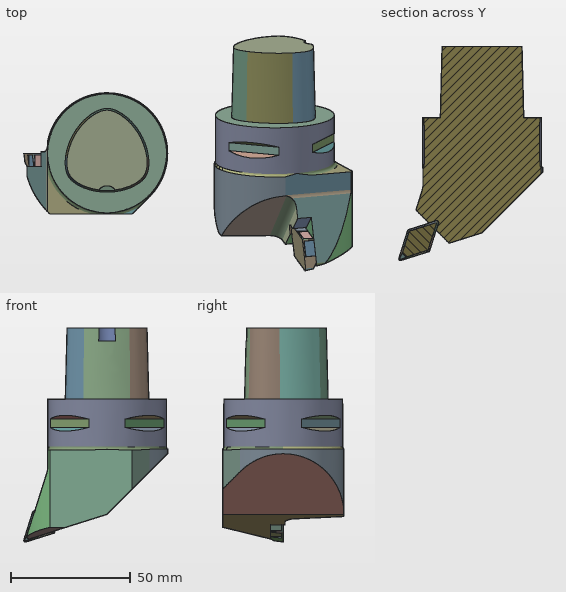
import cadquery as cq
import math

shank_length = 30.0
shank_mean_radius = 17.6
lobe_count = 3
shank_lobe = 1.3
spline_steps = 10
lobe_half_angle = 37.6
shank_slope = 0.025

key_notch_radius = 4.2
key_notch_floor = -13.6
key_notch_depth = 5.5

collar_radius = 25.0
collar_height = 20.0
neck_fillet = 1.3

groove_flat_distance = 22.2
groove_z = -10.1
groove_half_height = 1.7
groove_flare = 30.0
groove_count = 4

head_radius = 25.5
swing_radius = 35.0
head_left = -25.0
flare_start = -29.9
flare_fillet = 5.0
head_tip_fillet = 1.0
heel_z = -48.4
bottom_relief_z = -53.8
bottom_relief_slope = 0.245

lead_angle = 17.5
tool_reach = 34.98
tool_length = 60.0

insert_side = 14.0
insert_thickness = 5.4
insert_nose_radius = 0.8
insert_clearance = 7.0
recess_start = 6.6
recess_end = 13.2
recess_depth = 0.7
recess_rim = 0.75
relief_start = 1.5
relief_end = 3.7
relief_start_depth = 3.8

seat_wall_distance = 20.7
land_y = 0.75
gullet_start_z = -29.3
gullet_x_slope = -1.105
gullet_y_slope = 0.212
gullet_fillet = 4.4

lobe_pitch = 360 / lobe_count
ledge_z = -collar_height - neck_fillet
lead_slope = math.tan(math.radians(lead_angle))
insert_angle = 90 - 2 * lead_angle
half_angle = math.radians(insert_angle / 2)
insert_long = 2 * insert_side * math.cos(half_angle)
insert_half_width = insert_side * math.sin(half_angle)
nose_setback = insert_nose_radius * (math.sqrt(0.5) / math.sin(half_angle) - 1)
sharp_x = -tool_reach - nose_setback
sharp_z = -tool_length - nose_setback
gullet_edge_y = math.sqrt(head_radius**2 - head_left**2)
oversize = 80.0


def shank_section(height):
    """Closed three-lobed constant-width curve with one lobe on +Y, split where lobes meet flanks."""
    mean = shank_mean_radius - shank_slope * height

    def point(degrees):
        angle = math.radians(degrees)
        along = mean * math.cos(angle) + shank_lobe * (2 * math.cos(2 * angle) - math.cos(4 * angle))
        across = mean * math.sin(angle) - shank_lobe * (2 * math.sin(2 * angle) + math.sin(4 * angle))
        return cq.Vector(-across, along, height)

    def tangent(degrees):
        angle = math.radians(degrees)
        return cq.Vector(-math.cos(angle), -math.sin(angle), 0)

    def piece(start, end):
        step = (end - start) / spline_steps
        points = [point(start + i * step) for i in range(spline_steps + 1)]
        return cq.Edge.makeSpline(points, tangents=[tangent(start), tangent(end)])

    edges = []
    for i in range(lobe_count):
        lobe = i * lobe_pitch
        edges.append(piece(lobe - lobe_half_angle, lobe + lobe_half_angle))
        edges.append(piece(lobe + lobe_half_angle, lobe + lobe_pitch - lobe_half_angle))
    return cq.Wire.assembleEdges(edges)


def make_shank():
    sections = [shank_section(0), shank_section(shank_length)]
    shank = cq.Workplane(cq.Solid.makeLoft(sections, True))
    notch = (
        cq.Workplane("XY", origin=(0, key_notch_floor - key_notch_radius, shank_length - key_notch_depth))
        .circle(key_notch_radius)
        .extrude(key_notch_depth)
    )
    return shank.cut(notch)


def gripper_groove(angle):
    """Straight trapezoidal groove across the collar, facing the given direction."""
    depth = head_radius - groove_flat_distance
    mouth_half_height = groove_half_height + depth * math.tan(math.radians(groove_flare))
    return (
        cq.Workplane("XZ", origin=(0, head_radius, 0))
        .polyline(
            [
                (groove_flat_distance, groove_z - groove_half_height),
                (head_radius, groove_z - mouth_half_height),
                (head_radius, groove_z + mouth_half_height),
                (groove_flat_distance, groove_z + groove_half_height),
            ]
        )
        .close()
        .extrude(2 * head_radius)
        .rotate((0, 0, 0), (0, 0, 1), angle)
    )


def make_collar():
    collar = cq.Workplane("XY").circle(collar_radius).extrude(-collar_height)
    for i in range(groove_count):
        collar = collar.cut(gripper_groove(45 + i * 360 / groove_count))
    return collar


def head_plan():
    """Plan outline: round back, square front, flared left side and a 45 degree right corner."""
    swing_front_x = -math.sqrt(swing_radius**2 - head_radius**2)
    swing_back_x = -math.sqrt(swing_radius**2 - gullet_edge_y**2)
    diagonal = head_radius * math.sqrt(0.5)
    bevel_x = 2 * diagonal - head_radius
    return (
        cq.Workplane("XY")
        .moveTo(swing_front_x, -head_radius)
        .threePointArc((-swing_radius, 0), (swing_back_x, gullet_edge_y))
        .lineTo(head_left, gullet_edge_y)
        .threePointArc((diagonal, diagonal), (diagonal, -diagonal))
        .lineTo(bevel_x, -head_radius)
        .close()
        .extrude(-oversize)
    )


def head_side():
    """Side profile: flared left edge, sloped underside and 45 degree heel."""
    tip_z = (heel_z + lead_slope * (head_left - lead_slope * flare_start)) / (1 - lead_slope**2)
    tip_x = head_left + lead_slope * (tip_z - flare_start)
    side = (
        cq.Workplane("XZ", origin=(0, head_radius, 0))
        .polyline(
            [
                (head_left, -collar_height),
                (head_left, flare_start),
                (tip_x, tip_z),
                (0, heel_z),
                (head_radius, heel_z + head_radius),
                (head_radius, -collar_height),
            ]
        )
        .close()
        .extrude(2 * head_radius)
    )
    side = side.edges(cq.NearestToPointSelector((head_left, 0, flare_start))).fillet(flare_fillet)
    return side.edges(cq.NearestToPointSelector((tip_x, 0, tip_z))).fillet(head_tip_fillet)


def neck_envelope():
    """Round body that keeps everything below the ledge and the concave fillet at the collar."""
    arc_offset = neck_fillet * (1 - math.sqrt(0.5))
    return (
        cq.Workplane("XZ")
        .moveTo(0, -collar_height)
        .lineTo(collar_radius, -collar_height)
        .threePointArc(
            (collar_radius + arc_offset, ledge_z + arc_offset),
            (collar_radius + neck_fillet, ledge_z),
        )
        .lineTo(oversize, ledge_z)
        .lineTo(oversize, -oversize)
        .lineTo(0, -oversize)
        .close()
        .revolve(360, (0, 0, 0), (0, 1, 0))
    )


def underside_relief():
    """Space below the tilted underside, which drops from the front face towards the back."""
    return (
        cq.Workplane("YZ", origin=(-oversize, 0, 0))
        .polyline(
            [
                (-head_radius, bottom_relief_z),
                (0, bottom_relief_z - bottom_relief_slope * head_radius),
                (0, -oversize),
                (-head_radius, -oversize),
            ]
        )
        .close()
        .extrude(2 * oversize)
    )


def chip_gullet():
    """Chip space behind the land wall, under a face that tilts down to the right."""
    normal = cq.Vector(gullet_x_slope, gullet_y_slope, -1)
    corner = cq.Vector(head_left, gullet_edge_y, gullet_start_z)
    below_face = (
        cq.Workplane(cq.Plane(origin=corner.toTuple(), xDir=(0, 1, 0), normal=normal.toTuple()))
        .rect(4 * oversize, 4 * oversize)
        .extrude(2 * oversize)
    )
    behind_land = cq.Workplane("XY", origin=(0, land_y, 0)).rect(2 * oversize, oversize).extrude(-oversize)
    behind_land = behind_land.translate((0, oversize / 2, 0))
    gullet = behind_land.intersect(below_face)
    root_z = gullet_start_z + gullet_y_slope * (land_y - gullet_edge_y)
    return gullet.edges(cq.NearestToPointSelector((head_left, land_y, root_z))).fillet(gullet_fillet)


def tip_frame(y):
    """Work plane facing -Y at the sharp insert tip, its X axis along the insert's long axis."""
    return cq.Plane(origin=(sharp_x, y, sharp_z), xDir=(1, 0, 1), normal=(0, -1, 0))


def insert_outline(y):
    """Rhombus with rounded corners in the plane at the given Y."""
    inset = insert_nose_radius / math.sin(half_angle)
    flank_inset = insert_nose_radius / math.cos(half_angle)
    centre = insert_long / 2
    return (
        cq.Workplane(tip_frame(y))
        .polyline(
            [
                (inset, 0),
                (centre, flank_inset - insert_half_width),
                (insert_long - inset, 0),
                (centre, insert_half_width - flank_inset),
            ]
        )
        .close()
        .offset2D(insert_nose_radius)
    )


def side_recess(far_end, mirrored):
    """Pocket under the rim of one insert side, measured from the near or the far sharp corner."""

    def point(along, inward):
        long = along * math.cos(half_angle) + inward * math.sin(half_angle)
        across = along * math.sin(half_angle) - inward * math.cos(half_angle)
        return (insert_long - long if far_end else long, -across if mirrored else across)

    corners = [
        point(recess_start, recess_depth),
        point(recess_end, recess_depth),
        point(recess_end, -recess_depth),
        point(recess_start, -recess_depth),
    ]
    return cq.Workplane(tip_frame(-recess_rim)).polyline(corners).close().extrude(insert_thickness)


def nose_relief():
    """Wedge that bevels the underside of the insert behind its cutting nose."""
    return (
        cq.Workplane(cq.Plane(origin=(sharp_x, 0, sharp_z), xDir=(1, 0, 1), normal=(-1, 0, 1)))
        .polyline(
            [
                (0, -relief_start_depth),
                (relief_start, -relief_start_depth),
                (relief_end, -insert_thickness),
                (0, -insert_thickness),
            ]
        )
        .close()
        .extrude(insert_side, both=True)
    )


def make_insert():
    insert = insert_outline(0).extrude(insert_thickness, taper=insert_clearance)
    for far_end in (False, True):
        for mirrored in (False, True):
            insert = insert.cut(side_recess(far_end, mirrored))
    return insert.cut(nose_relief())


def seat():
    """Open space in front of the end wall, plus the notch that takes the far corner of the insert."""
    height = insert_thickness + land_y
    open_space = (
        cq.Workplane(tip_frame(land_y))
        .center(seat_wall_distance - oversize / 2, 0)
        .rect(oversize, oversize)
        .extrude(height)
    )
    return open_space.union(insert_outline(land_y).extrude(height))


def make_holder():
    head = head_plan().intersect(head_side()).intersect(neck_envelope())
    head = head.cut(underside_relief()).cut(chip_gullet()).cut(seat())
    return head.union(make_collar()).union(make_shank())


holder = make_holder()
insert = make_insert()
result = cq.Compound.makeCompound([holder.solids().val(), insert.solids().val()])